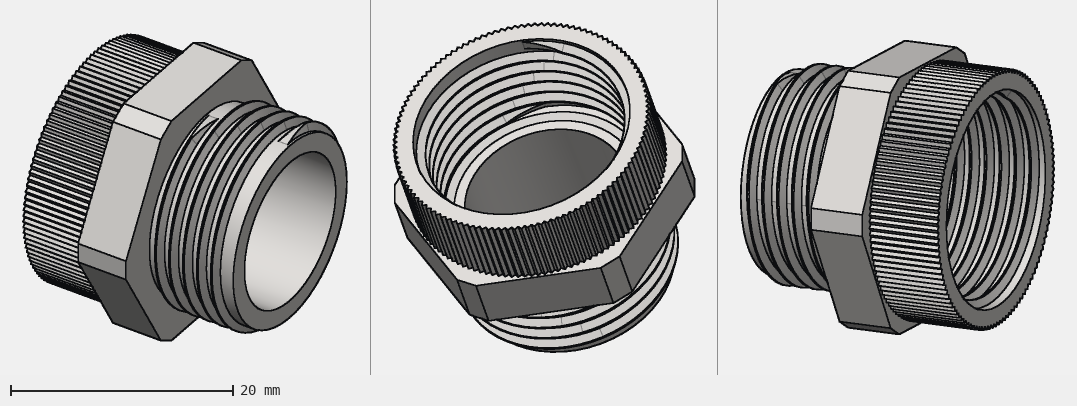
import cadquery as cq
import math

total_length = 21.0
knurl_length = 6.85
hex_length = 5.15
hex_end = knurl_length + hex_length

across_flats = 24.0
across_corners = 26.55

knurl_diameter = 23.67
knurl_depth = 0.3
knurl_teeth = 120
sleeve_diameter = 22.3

stub_diameter = 18.8
stub_crest_diameter = 20.25
socket_diameter = 20.05
step_diameter = 17.05
step_length = 0.32
through_diameter = 15.07

stub_turns = 5
socket_turns = 6
socket_thread_length = 9.0
pitch = socket_thread_length / socket_turns
thread_margin = pitch / 2
ridge_height = (stub_crest_diameter - stub_diameter) / 2
ridge_base = 1.0
ridge_crest = 0.15
ridge_embed = 0.08
fade_turns = 1 / 16
fade_points = 5

socket_depth = thread_margin + socket_thread_length
step_end = socket_depth + step_length


def cylinder(diameter, start, end):
    """Round bar along X between two positions."""
    return cq.Workplane("YZ", origin=(start, 0, 0)).circle(diameter / 2).extrude(end - start)


def hexagon(flat_to_flat):
    """Hexagonal bar over the length of the collar, before it is turned into place."""
    corner_diameter = flat_to_flat / math.cos(math.radians(30))
    return cq.Workplane("YZ", origin=(knurl_length, 0, 0)).polygon(6, corner_diameter).extrude(hex_length)


def make_collar():
    """Hexagon with flats up and down, its corners cut by a larger hexagon turned 30 degrees."""
    corner_cut = hexagon(across_corners).rotate((0, 0, 0), (1, 0, 0), 30)
    return hexagon(across_flats).intersect(corner_cut)


def make_knurl():
    """Ring around the sleeve with straight V teeth, one tooth tip on top."""
    tip_radius = knurl_diameter / 2
    radii = (tip_radius, tip_radius - knurl_depth)
    points = []
    for i in range(2 * knurl_teeth):
        angle = math.pi / 2 + i * math.pi / knurl_teeth
        radius = radii[i % 2]
        points.append((radius * math.cos(angle), radius * math.sin(angle)))
    ring = cq.Workplane("YZ").polyline(points).close().extrude(knurl_length)
    return ring.cut(cylinder(sleeve_diameter, 0, knurl_length))


def fade_edge(end_turn, direction, end_corner, full_corner):
    """Edge of a fading ridge end; a corner is (radius, offset along the axis)."""
    points = []
    for i in range(fade_points):
        share = i / (fade_points - 1)
        turn = end_turn + direction * share * fade_turns
        radius = end_corner[0] + share * (full_corner[0] - end_corner[0])
        offset = end_corner[1] + share * (full_corner[1] - end_corner[1])
        angle = 2 * math.pi * turn
        x, y = radius * math.cos(angle), radius * math.sin(angle)
        points.append(cq.Vector(x, y, turn * pitch + offset))
    return cq.Edge.makeSpline(points)


def full_edge(corner, start_turn, stretch_turns):
    """Helical edge of one stretch of the full-height ridge."""
    radius, offset = corner
    helix = cq.Wire.makeHelix(pitch, stretch_turns * pitch, radius)
    helix = helix.rotate(cq.Vector(0, 0, 0), cq.Vector(0, 0, 1), 360 * start_turn)
    return helix.translate(cq.Vector(0, 0, start_turn * pitch + offset)).Edges()[0]


def make_thread(wall_diameter, outward, turns, start):
    """Right-hand ridge on a round wall, rising outward (1) or inward (-1) and fading at both ends."""
    wall = wall_diameter / 2
    crest = wall + outward * ridge_height
    foot = wall - outward * ridge_embed
    half_base = ridge_base / 2
    half_crest = ridge_crest / 2
    half_foot = half_base + ridge_embed * (half_base - half_crest) / ridge_height

    full_corners = [(foot, -half_foot), (crest, -half_crest), (crest, half_crest), (foot, half_foot)]
    end_corners = [(foot, -half_foot), (wall, -half_base), (wall, half_base), (foot, half_foot)]

    stretches = [[fade_edge(0, 1, end, full) for end, full in zip(end_corners, full_corners)]]
    stretch_count = 2 * turns
    stretch_turns = (turns - 2 * fade_turns) / stretch_count
    for i in range(stretch_count):
        start_turn = fade_turns + i * stretch_turns
        stretches.append([full_edge(full, start_turn, stretch_turns) for full in full_corners])
    stretches.append([fade_edge(turns, -1, end, full) for end, full in zip(end_corners, full_corners)])

    faces = []
    for edges in stretches:
        for i in range(len(edges)):
            faces.append(cq.Face.makeRuledSurface(edges[i - 1], edges[i]))
    for edges in (stretches[0], stretches[-1]):
        corners = [edge.startPoint() for edge in edges]
        faces.append(cq.Face.makeFromWires(cq.Wire.makePolygon(corners, close=True)))

    ridge = cq.Solid.makeSolid(cq.Shell.makeShell(faces)).fix()
    ridge = ridge.rotate(cq.Vector(0, 0, 0), cq.Vector(0, 1, 0), 90)
    ridge = ridge.rotate(cq.Vector(0, 0, 0), cq.Vector(1, 0, 0), 180)
    return cq.Workplane(ridge.translate(cq.Vector(start, 0, 0)))


def make_socket():
    """Cutter for the socket, its conical step and the through bore."""
    step_start = (socket_depth, socket_diameter / 2 - ridge_height)
    outline = [
        (0, 0),
        (0, socket_diameter / 2),
        (socket_depth, socket_diameter / 2),
        step_start,
        (step_end, step_diameter / 2),
        (step_end, through_diameter / 2),
        (total_length, through_diameter / 2),
        (total_length, 0),
    ]
    return cq.Workplane("XY").polyline(outline).close().revolve(360, (0, 0, 0), (1, 0, 0))


sleeve = cylinder(sleeve_diameter, 0, knurl_length)
stub = cylinder(stub_diameter, hex_end, total_length)
body = sleeve.union(make_collar()).union(stub).cut(make_socket())
body = body.union(make_thread(stub_diameter, 1, stub_turns, hex_end + thread_margin))
body = body.union(make_thread(socket_diameter, -1, socket_turns, thread_margin))

result = body.union(make_knurl(), glue=True)